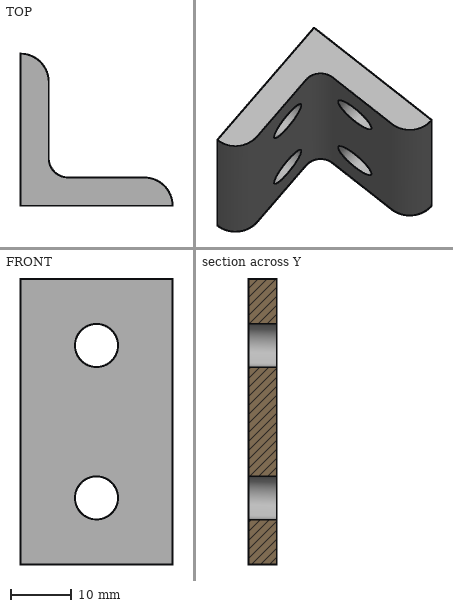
import cadquery as cq

leg_length = 25.4
height = 47.625
thickness = 4.7625
inner_fillet_radius = 3.175
hole_diameter = 7.14375
hole_spacing = 25.4

tip_radius = thickness
leg_center = leg_length / 2
mid_height = height / 2
hole_heights = [mid_height - hole_spacing / 2, mid_height + hole_spacing / 2]


def make_angle():
    """L-shaped extrusion along Z with the outer corner on the Z axis."""
    tip_start = leg_length - tip_radius
    fillet_end = thickness + inner_fillet_radius
    profile = (
        cq.Workplane("XY")
        .lineTo(leg_length, 0)
        .radiusArc((tip_start, thickness), -tip_radius)
        .lineTo(fillet_end, thickness)
        .radiusArc((thickness, fillet_end), inner_fillet_radius)
        .lineTo(thickness, tip_start)
        .radiusArc((0, leg_length), -tip_radius)
        .close()
    )
    return profile.extrude(height)


def make_leg_holes(plane, direction):
    """Cylinders that pass through one leg, starting on its outer face."""
    centers = [(leg_center, z) for z in hole_heights]
    holes = cq.Workplane(plane).pushPoints(centers).circle(hole_diameter / 2)
    return holes.extrude(direction * leg_length)


result = make_angle()
result = result.cut(make_leg_holes("XZ", -1))
result = result.cut(make_leg_holes("YZ", 1))